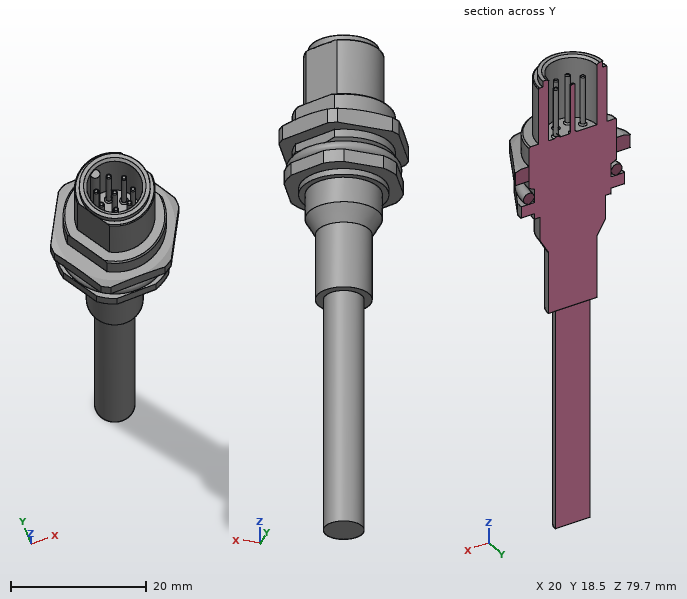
import cadquery as cq
import math

SLEEVE_BOTTOM = 38.3
CONE_BOTTOM = 49.1
CONE_TOP = 51.7
COLLAR_BOTTOM = 55.8
FLANGE_BOTTOM = 56.75
FLANGE_TOP = 58.8
THREAD_BOTTOM = 61.05
NUT_BOTTOM = 62.8
NUT_TOP = 65.4
THREAD_TOP = 68.9
LIP_BOTTOM = 78.7
TOP = 79.7

CABLE_RADIUS = 3.0
SLEEVE_RADIUS = 4.2
GRIP_RADIUS = 5.7
COLLAR_RADIUS = 6.7
NECK_RADIUS = 6.7
THREAD_RADIUS = 7.65
PLUG_RADIUS = 6.0
LIP_RADIUS = 5.3

THREAD_TOP_CHAMFER = 0.2
THREAD_END_CONE = 0.5
PLUG_CHAMFER = 0.15

FLAT_ANGLE = 33.2
THREAD_FLAT_DISTANCE = 6.7
PLUG_FLAT_DISTANCE = 5.2

HALF_SECTOR = 30
FLANGE_FLAT_DISTANCE = 8.45
FLANGE_CORNER_RADIUS = 9.0
NUT_FLAT_DISTANCE = 9.0
NUT_CORNER_RADIUS = 20.0 / 2
NUT_BEVEL_HEIGHT = 0.3

BORE_RADIUS = 4.15
MOUTH_RADIUS = 4.6
MOUTH_DEPTH = 0.3
BORE_FLOOR = THREAD_TOP
PIN_RADIUS = 0.4
PIN_TIP_CHAMFER = 0.15
PIN_ROOT_RADIUS = 0.6
PIN_TOP = 77.4
PIN_CIRCLE_RADIUS = 5.5 / 2
RING_PIN_COUNT = 7
KEY_RADIUS = 0.7
KEY_ANGLE = FLAT_ANGLE + 90
KEY_GAP_ANGLE = 67.0
KEY_CENTRE_RADIUS = 3.7
KEY_TOP = 79.1

SEAL_WIRE_RADIUS = 0.95
SEAL_CENTRE_RADIUS = NECK_RADIUS + SEAL_WIRE_RADIUS
SEAL_HEIGHT = FLANGE_TOP + SEAL_WIRE_RADIUS


def cylinder(radius, bottom, top):
    """Upright cylinder on the Z axis."""
    return cq.Workplane("XY").workplane(offset=bottom).circle(radius).extrude(top - bottom)


def hexagon(flat_distance, corner_radius, bottom, top):
    """Upright hexagonal prism whose corners are rounded by a cylinder about the axis."""
    corner_circle = 2 * flat_distance / math.cos(math.radians(HALF_SECTOR))
    prism = (
        cq.Workplane("XY")
        .workplane(offset=bottom)
        .polygon(6, corner_circle)
        .extrude(top - bottom)
        .rotate((0, 0, 0), (0, 0, 1), FLAT_ANGLE + HALF_SECTOR)
    )
    return prism.intersect(cylinder(corner_radius, bottom, top))


def with_two_flats(body, flat_distance):
    """Trim a round section to two opposite flats."""
    box = body.val().BoundingBox()
    slab = (
        cq.Workplane("XY")
        .workplane(offset=box.zmin)
        .rect(2 * flat_distance, 2 * box.ymax)
        .extrude(box.zlen)
        .rotate((0, 0, 0), (0, 0, 1), FLAT_ANGLE)
    )
    return body.intersect(slab)


def at_polar(body, radius, angle):
    """Move a body from the Z axis to a polar position about it."""
    radians = math.radians(angle)
    return body.translate((radius * math.cos(radians), radius * math.sin(radians), 0))


def make_thread():
    """Wide flatted section that carries the nut, tapering to the neck below."""
    taper = THREAD_RADIUS - NECK_RADIUS
    thread = (
        cylinder(THREAD_RADIUS, THREAD_BOTTOM, THREAD_TOP)
        .faces(">Z")
        .chamfer(THREAD_TOP_CHAMFER)
        .faces("<Z")
        .chamfer(THREAD_END_CONE, taper)
    )
    return with_two_flats(thread, THREAD_FLAT_DISTANCE)


def make_plug():
    """Narrow flatted section with a round lip at the mouth."""
    plug = cylinder(PLUG_RADIUS, THREAD_TOP, LIP_BOTTOM).faces(">Z").chamfer(PLUG_CHAMFER)
    lip = cylinder(LIP_RADIUS, LIP_BOTTOM, TOP)
    return with_two_flats(plug, PLUG_FLAT_DISTANCE).union(lip)


def make_grip():
    """Round rear end: sleeve, cone, grip and collar."""
    return (
        cq.Workplane("XZ")
        .moveTo(0, SLEEVE_BOTTOM)
        .lineTo(SLEEVE_RADIUS, SLEEVE_BOTTOM)
        .lineTo(SLEEVE_RADIUS, CONE_BOTTOM)
        .lineTo(GRIP_RADIUS, CONE_TOP)
        .lineTo(GRIP_RADIUS, COLLAR_BOTTOM)
        .lineTo(COLLAR_RADIUS, COLLAR_BOTTOM)
        .lineTo(COLLAR_RADIUS, FLANGE_BOTTOM)
        .lineTo(0, FLANGE_BOTTOM)
        .close()
        .revolve(360, (0, 0), (0, 1))
    )


def make_bore():
    """Socket opening with a flared mouth, less the coding key left standing on its wall."""
    bore = (
        cq.Workplane("XZ")
        .moveTo(0, BORE_FLOOR)
        .lineTo(BORE_RADIUS, BORE_FLOOR)
        .lineTo(BORE_RADIUS, TOP - MOUTH_DEPTH)
        .lineTo(MOUTH_RADIUS, TOP)
        .lineTo(0, TOP)
        .close()
        .revolve(360, (0, 0), (0, 1))
    )
    key = cylinder(KEY_RADIUS, BORE_FLOOR, KEY_TOP)
    return bore.cut(at_polar(key, KEY_CENTRE_RADIUS, KEY_ANGLE))


def make_pin():
    """Contact pin on the Z axis, with a bevelled tip and a conical root on the socket floor."""
    root_height = PIN_ROOT_RADIUS - PIN_RADIUS
    return (
        cq.Workplane("XZ")
        .moveTo(0, BORE_FLOOR)
        .lineTo(PIN_ROOT_RADIUS, BORE_FLOOR)
        .lineTo(PIN_RADIUS, BORE_FLOOR + root_height)
        .lineTo(PIN_RADIUS, PIN_TOP - PIN_TIP_CHAMFER)
        .lineTo(PIN_RADIUS - PIN_TIP_CHAMFER, PIN_TOP)
        .lineTo(0, PIN_TOP)
        .close()
        .revolve(360, (0, 0), (0, 1))
    )


def make_contacts():
    """Contact pins: one in the centre and a ring that leaves room for the key."""
    contacts = [make_pin()]
    step = (360 - KEY_GAP_ANGLE) / (RING_PIN_COUNT - 1)
    for index in range(RING_PIN_COUNT):
        angle = KEY_ANGLE + KEY_GAP_ANGLE / 2 + index * step
        contacts.append(at_polar(make_pin(), PIN_CIRCLE_RADIUS, angle))
    return contacts


def make_housing():
    """Connector housing with its grip, hexagonal flange and contacts."""
    flange = hexagon(FLANGE_FLAT_DISTANCE, FLANGE_CORNER_RADIUS, FLANGE_BOTTOM, FLANGE_TOP)
    neck = cylinder(NECK_RADIUS, FLANGE_TOP, THREAD_BOTTOM)
    housing = make_grip().union(flange).union(neck).union(make_thread()).union(make_plug())
    housing = housing.cut(make_bore())
    for contact in make_contacts():
        housing = housing.union(contact)
    return housing


def make_nut():
    """Hexagonal nut, bevelled on top, with an opening that fits the flatted thread."""
    bevel_width = NUT_CORNER_RADIUS - NUT_FLAT_DISTANCE
    bevelled_disc = (
        cylinder(NUT_CORNER_RADIUS, NUT_BOTTOM, NUT_TOP)
        .faces(">Z")
        .chamfer(NUT_BEVEL_HEIGHT, bevel_width)
    )
    blank = hexagon(NUT_FLAT_DISTANCE, NUT_CORNER_RADIUS, NUT_BOTTOM, NUT_TOP)
    opening = with_two_flats(cylinder(THREAD_RADIUS, NUT_BOTTOM, NUT_TOP), THREAD_FLAT_DISTANCE)
    return blank.intersect(bevelled_disc).cut(opening)


def make_seal():
    """Round sealing ring."""
    return (
        cq.Workplane("XZ")
        .center(SEAL_CENTRE_RADIUS, SEAL_HEIGHT)
        .circle(SEAL_WIRE_RADIUS)
        .revolve(360, (-SEAL_CENTRE_RADIUS, 0), (-SEAL_CENTRE_RADIUS, 1))
    )


housing = make_housing()
nut = make_nut()
seal = make_seal()

cable = cylinder(CABLE_RADIUS, 0, SLEEVE_BOTTOM)

result = cq.Compound.makeCompound([housing.val(), nut.val(), seal.val(), cable.val()])